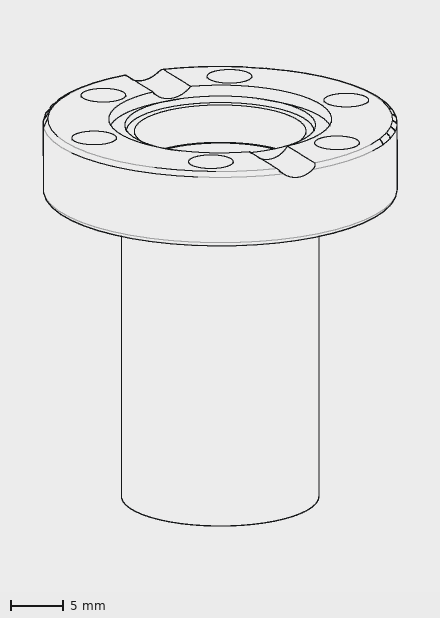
import cadquery as cq

TOTAL_HEIGHT = 38.0

FLANGE_DIAMETER = 34.0
FLANGE_THICKNESS = 7.5
RIM_FILLET = 0.45
FLANGE_BORE_DIAMETER = 16.5

RECESS_DIAMETER = 21.4
RECESS_DEPTH = 1.2
KNIFE_DIAMETER = 18.3
KNIFE_DEPTH = 0.6
LAND_DIAMETER = 18.0
LAND_DEPTH = 1.2

BOLT_COUNT = 6
BOLT_DIAMETER = 4.3
BOLT_CIRCLE_DIAMETER = 26.98
FIRST_BOLT_ANGLE = 90.0

GROOVE_WIDTH = 4.03
GROOVE_DEPTH = 1.0

TUBE_DIAMETER = 19.0
TUBE_BORE_DIAMETER = 16.0
SOCKET_DIAMETER = 19.1
TUBE_TOP_DEPTH = 4.98

FLANGE_BOTTOM = TOTAL_HEIGHT - FLANGE_THICKNESS
TUBE_LENGTH = TOTAL_HEIGHT - TUBE_TOP_DEPTH


def make_flange_blank():
    """Revolve the flange section: rounded rim, knife edge, bore and tube socket."""
    rim = FLANGE_DIAMETER / 2
    section = [
        (SOCKET_DIAMETER / 2, FLANGE_BOTTOM),
        (rim, FLANGE_BOTTOM),
        (rim, TOTAL_HEIGHT),
        (RECESS_DIAMETER / 2, TOTAL_HEIGHT),
        (RECESS_DIAMETER / 2, TOTAL_HEIGHT - RECESS_DEPTH),
        (KNIFE_DIAMETER / 2, TOTAL_HEIGHT - KNIFE_DEPTH),
        (LAND_DIAMETER / 2, TOTAL_HEIGHT - LAND_DEPTH),
        (FLANGE_BORE_DIAMETER / 2, TOTAL_HEIGHT - LAND_DEPTH),
        (FLANGE_BORE_DIAMETER / 2, TUBE_LENGTH),
        (SOCKET_DIAMETER / 2, TUBE_LENGTH),
    ]
    blank = cq.Workplane("XZ").polyline(section).close().revolve(360, (0, 0), (0, 1))
    rim_edges = cq.selectors.RadiusNthSelector(-1)
    return blank.edges("%CIRCLE").edges(rim_edges).fillet(RIM_FILLET)


def make_bolt_holes():
    """Cylinders that cut the bolt circle through the flange."""
    return (
        cq.Workplane("XY")
        .workplane(offset=FLANGE_BOTTOM)
        .polarArray(BOLT_CIRCLE_DIAMETER / 2, FIRST_BOLT_ANGLE, 360, BOLT_COUNT)
        .circle(BOLT_DIAMETER / 2)
        .extrude(FLANGE_THICKNESS)
    )


def make_leak_grooves():
    """Round-bottomed cutters along X, kept outside the sealing recess."""
    half_width = GROOVE_WIDTH / 2
    groove_radius = (half_width**2 + GROOVE_DEPTH**2) / (2 * GROOVE_DEPTH)
    bar = (
        cq.Workplane("YZ")
        .center(0, TOTAL_HEIGHT - GROOVE_DEPTH + groove_radius)
        .circle(groove_radius)
        .extrude(FLANGE_DIAMETER / 2, both=True)
    )
    recess_core = cq.Workplane("XY").circle(RECESS_DIAMETER / 2).extrude(2 * TOTAL_HEIGHT)
    return bar.cut(recess_core)


def make_flange():
    return make_flange_blank().cut(make_bolt_holes()).cut(make_leak_grooves())


def make_tube():
    """Plain tube whose upper end seats against the socket shoulder."""
    return (
        cq.Workplane("XY")
        .circle(TUBE_DIAMETER / 2)
        .circle(TUBE_BORE_DIAMETER / 2)
        .extrude(TUBE_LENGTH)
    )


flange = make_flange()
tube = make_tube()

result = cq.Compound.makeCompound([flange.val(), tube.val()])